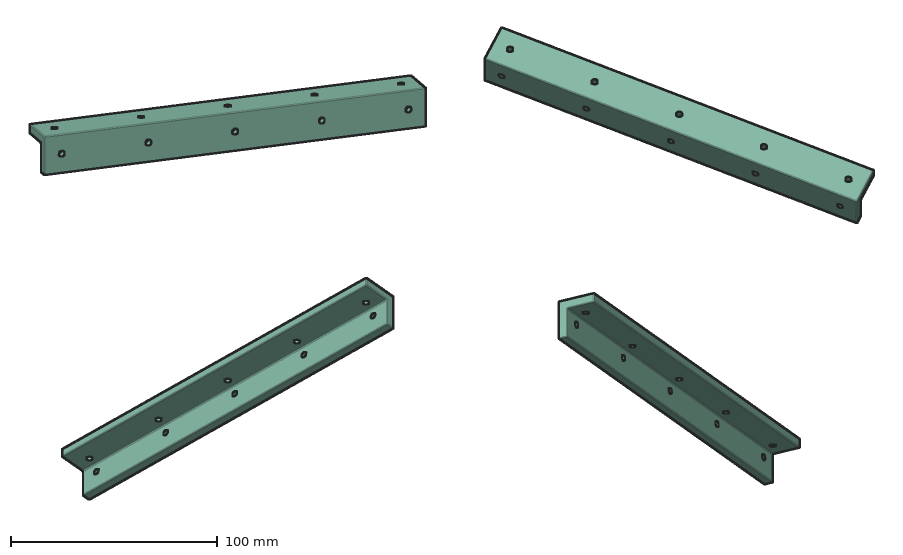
import cadquery as cq

length = 198.0
leg_width = 20.0
thickness = 5.0
edge_radius = 0.5
hole_diameter = 3.0
hole_count = 5
hole_pitch = 45.0

half_width = leg_width / 2
half_length = length / 2
inner_face = half_width - thickness


def angle_bar():
    """L-shaped bar along Y: a flat top leg and a leg hanging from its +X side."""
    outline = [
        (-half_width, half_width),
        (half_width, half_width),
        (half_width, -half_width),
        (inner_face, -half_width),
        (inner_face, inner_face),
        (-half_width, inner_face),
    ]
    return cq.Workplane("XZ").polyline(outline).close().extrude(half_length, both=True)


def round_edges(bar):
    """Round every edge of the bar, including the long inside corner."""
    return bar.edges().fillet(edge_radius)


def hole_row(plane_name):
    """Row of cylinders along Y, centred on the origin and rising from the plane."""
    row_start = -(hole_count - 1) / 2 * hole_pitch
    plane = cq.Plane.named(plane_name)
    hole_places = [
        plane.toLocalCoords(cq.Vector(0, row_start + index * hole_pitch, 0))
        for index in range(hole_count)
    ]
    return cq.Workplane(plane).pushPoints(hole_places).circle(hole_diameter / 2).extrude(leg_width)


result = round_edges(angle_bar()).cut(hole_row("XY")).cut(hole_row("YZ"))